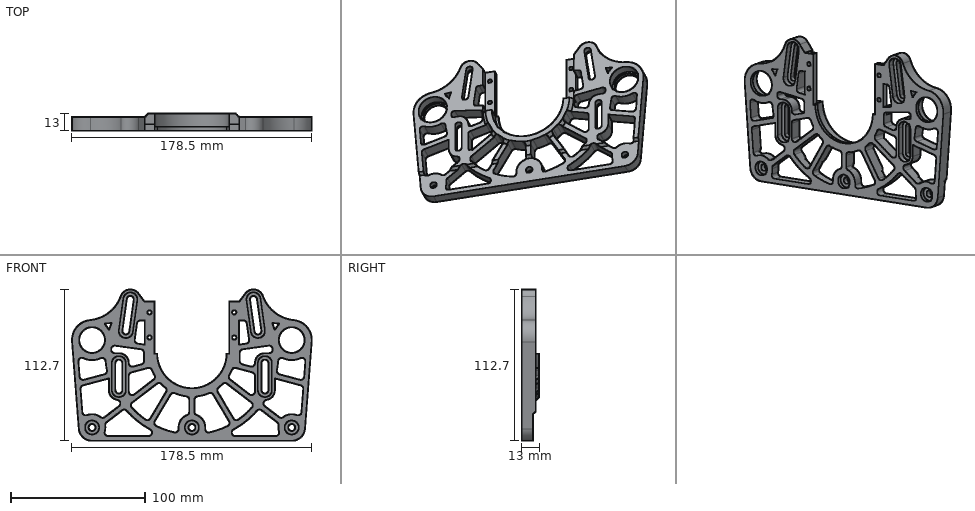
import cadquery as cq
import math

plate_depth = 10.5
boss_depth = 13.0
foot_depth = 8.5
tab_depth = 5.0
bearing_lip = 3.0
cup_lip = 3.0
pocket_floor = 5.0
slot_pocket_depth = plate_depth - pocket_floor
foot_pocket_depth = foot_depth - pocket_floor
cutter_depth = 20.0

overall_height = 112.73

cup_z = 65.0
cup_bore_radius = 27.75
cup_lip_radius = 25.75
boss_base_radius = 35.0
boss_rim_radius = boss_base_radius - (boss_depth - plate_depth)

corner_x = 74.225
corner_radius = 15.0
bearing_z = 75.0
bearing_diameter = 22.0
bearing_lip_diameter = 19.0
foot_radius = 10.0
foot_z = foot_radius
foot_xs = (-corner_x, 0.0, corner_x)
foot_step_z = 20.0

screw_diameter = 5.0
pocket_diameter = 10.5
slot_pad_radius = 7.5
tilt_slot_angle = 8.0
tilt_slot_length = 23.7
lobe_x = 45.8
lobe_z = overall_height - slot_pad_radius
post_slot_x = 54.3
post_slot_z = 47.85
post_slot_length = 20.0

neck_radius = 27.0
tab_top_z = 103.7
tab_outer_x = 35.2
tab_hole_x = 31.5
tab_hole_diameter = 3.0
tab_hole_zs = (76.9, 95.6)

frame_width = 3.75
rib_width = 4.0
rib_angles = (15.0, 37.5, 59.3, 90.0)
inner_ring_radius = 32.2
web_ring_inner = 60.0
web_ring_outer = 64.5
window_fillet = 2.5
same_place = 0.01
upper_window_inner_x = 35.7
tab_window_top_z = 89.5
tilt_rib_start = 8.0
triangle_points = ((-64.8, 87.2), (-59.9, 87.6), (-61.6, 82.7))

tilt = math.radians(tilt_slot_angle)
tilt_low_x = -lobe_x - tilt_slot_length * math.sin(tilt)
tilt_low_z = lobe_z - tilt_slot_length * math.cos(tilt)


def front(offset=0.0):
    """Sketch plane facing +Y whose local axes are world X and Z."""
    return cq.Workplane(cq.Plane((0, offset, 0), (1, 0, 0), (0, -1, 0)))


def prism(sketch, depth=cutter_depth):
    """Extrude a front sketch toward +Y."""
    return sketch.extrude(-depth)


def disc(x, z, radius, depth=cutter_depth, start=0.0):
    return prism(front(start).center(x, z).circle(radius), depth)


def polygon(points, depth=cutter_depth, start=0.0):
    return prism(front(start).polyline(points).close(), depth)


def box(x0, x1, z0, z1, depth=cutter_depth, start=0.0):
    return polygon([(x0, z0), (x1, z0), (x1, z1), (x0, z1)], depth, start)


def both_sides(shape):
    return shape.union(shape.mirror("YZ"))


def polar(center, radius, angle):
    return (center[0] + radius * math.cos(angle), center[1] + radius * math.sin(angle))


def side_line_points():
    """Tangent points of the sloping left side on the corner and foot circles."""
    lean = math.asin((corner_radius - foot_radius) / (bearing_z - foot_z))
    angle = math.pi + lean
    upper = polar((-corner_x, bearing_z), corner_radius, angle)
    lower = polar((-corner_x, foot_z), foot_radius, angle)
    return upper, lower, angle


def left_outline():
    """Left half of the plate, closed along X = 0, without the cup opening."""
    lobe = (-lobe_x, lobe_z)
    corner = (-corner_x, bearing_z)
    tab_corner = (-tab_outer_x, tab_top_z)

    flank_dx = tab_corner[0] - lobe[0]
    flank_dz = tab_corner[1] - lobe[1]
    flank_length = math.hypot(flank_dx, flank_dz)
    lobe_start = math.atan2(flank_dz, flank_dx) + math.acos(slot_pad_radius / flank_length)

    to_lobe = math.atan2(lobe[1] - corner[1], lobe[0] - corner[0])
    spacing = math.dist(lobe, corner)
    corner_side = neck_radius + corner_radius
    lobe_side = neck_radius + slot_pad_radius
    cosine = (corner_side**2 + spacing**2 - lobe_side**2) / (2 * corner_side * spacing)
    corner_start = to_lobe + math.acos(cosine)
    neck = polar(corner, corner_side, corner_start)
    lobe_end = math.atan2(neck[1] - lobe[1], neck[0] - lobe[0])
    neck_lobe = polar(lobe, slot_pad_radius, lobe_end)
    neck_corner = polar(corner, corner_radius, corner_start)
    chord_middle = ((neck_lobe[0] + neck_corner[0]) / 2, (neck_lobe[1] + neck_corner[1]) / 2)
    neck_angle = math.atan2(chord_middle[1] - neck[1], chord_middle[0] - neck[0])

    side_top, side_bottom, side_angle = side_line_points()
    foot_middle = (side_angle + 1.5 * math.pi) / 2
    return (
        front()
        .moveTo(0, 0)
        .lineTo(0, tab_top_z)
        .lineTo(*tab_corner)
        .lineTo(*polar(lobe, slot_pad_radius, lobe_start))
        .threePointArc(polar(lobe, slot_pad_radius, (lobe_start + lobe_end) / 2), neck_lobe)
        .threePointArc(polar(neck, neck_radius, neck_angle), neck_corner)
        .threePointArc(polar(corner, corner_radius, (corner_start + side_angle) / 2), side_top)
        .lineTo(*side_bottom)
        .threePointArc(polar((-corner_x, foot_z), foot_radius, foot_middle), (-corner_x, 0))
        .close()
    )


def make_plate():
    plate = both_sides(prism(left_outline(), plate_depth))
    boss = (
        front(plate_depth)
        .center(0, cup_z)
        .circle(boss_base_radius)
        .workplane(offset=-(boss_depth - plate_depth))
        .circle(boss_rim_radius)
        .loft()
    )
    return plate.union(boss.cut(box(-corner_x, corner_x, cup_z, 2 * cup_z)))


def foot_step():
    """Strip removed from the back of the feet, ending in a 45 degree slope."""
    step_end_z = foot_step_z + plate_depth - foot_depth
    profile = [(foot_depth, 0), (foot_depth, foot_step_z), (plate_depth, step_end_z), (plate_depth, 0)]
    return cq.Workplane("YZ").polyline(profile).close().extrude(2 * corner_x, both=True)


def cup_opening():
    bore = disc(0, cup_z, cup_bore_radius, start=cup_lip)
    lip = disc(0, cup_z, cup_lip_radius)
    throat = box(-cup_bore_radius, cup_bore_radius, cup_z, 2 * cup_z)
    tab_backs = both_sides(box(-tab_outer_x, 0, cup_z, 2 * cup_z, start=tab_depth))
    return bore.union(lip).union(throat).union(tab_backs)


def slot(x, z, length, angle, diameter, depth):
    sketch = front().center(x, z).slot2D(length + diameter, diameter, angle)
    return prism(sketch, depth)


def pocketed_slot(x, z, length, angle):
    pocket = slot(x, z, length, angle, pocket_diameter, slot_pocket_depth)
    return pocket.union(slot(x, z, length, angle, screw_diameter, cutter_depth))


def slots():
    tilted = pocketed_slot(
        (tilt_low_x - lobe_x) / 2, (tilt_low_z + lobe_z) / 2, tilt_slot_length, 90 - tilt_slot_angle
    )
    post = pocketed_slot(-post_slot_x, post_slot_z, post_slot_length, 90)
    return both_sides(tilted.union(post))


def round_holes():
    holes = disc(-corner_x, bearing_z, bearing_diameter / 2, start=bearing_lip)
    holes = holes.union(disc(-corner_x, bearing_z, bearing_lip_diameter / 2))
    for z in tab_hole_zs:
        holes = holes.union(disc(-tab_hole_x, z, tab_hole_diameter / 2))
    holes = both_sides(holes)
    for x in foot_xs:
        holes = holes.union(disc(x, foot_z, screw_diameter / 2))
        holes = holes.union(disc(x, foot_z, pocket_diameter / 2, foot_pocket_depth))
    return holes


def rib(angle):
    """Radial rib from the cup axis toward the lower left."""
    bar = box(-2 * corner_x, 0, cup_z - rib_width / 2, cup_z + rib_width / 2)
    return bar.rotate((0, 0, cup_z), (0, 1, cup_z), -angle)


def sector(start_angle, end_angle):
    """Wedge left of the cup axis, between angles below the -X direction, trimmed by half a rib."""
    reach = 3 * corner_x
    points = [(0, cup_z)]
    for angle in (start_angle, end_angle):
        points.append(polar((0, cup_z), reach, math.pi + math.radians(angle)))
    return polygon(points).cut(rib(start_angle)).cut(rib(end_angle))


def rounded(window, unrounded=()):
    """Round the corners along Y, except those at the listed (x, z) places."""

    def to_round(edge):
        center = edge.Center()
        return all(math.dist((center.x, center.z), place) > same_place for place in unrounded)

    return window.edges("|Y").filter(to_round).fillet(window_fillet)


def frame_inside():
    """Area inside the sloping side wall and the bottom wall."""
    top, bottom, angle = side_line_points()
    inset_top = polar(top, -frame_width, angle)
    inset_bottom = polar(bottom, -frame_width, angle)
    slope = (inset_top[0] - inset_bottom[0]) / (inset_top[1] - inset_bottom[1])
    floor_x = inset_bottom[0] + slope * (frame_width - inset_bottom[1])
    return polygon([inset_top, (floor_x, frame_width), (0, frame_width), (0, inset_top[1])])


def post_pad():
    """Material kept around the upright slot."""
    return slot(-post_slot_x, post_slot_z, post_slot_length, 90, 2 * slot_pad_radius, cutter_depth)


def foot_window(area):
    """Trim the window above a side foot around the upright slot; its top corner stays square."""
    pad_side = -post_slot_x - slot_pad_radius
    pad_low_z = post_slot_z - post_slot_length / 2
    rib_angle = math.radians(rib_angles[0])
    rib_z = cup_z + pad_side * math.tan(rib_angle) - rib_width / 2 / math.cos(rib_angle)
    area = area.cut(post_pad()).cut(box(pad_side, 0, pad_low_z, cup_z))
    return rounded(area, [(pad_side, rib_z), (pad_side, pad_low_z)])


def web_windows():
    """Windows between the ribs, inside and outside the web ring."""
    inner_ring = disc(0, cup_z, inner_ring_radius)
    annulus = disc(0, cup_z, web_ring_inner).cut(inner_ring)
    outside = frame_inside().cut(disc(0, cup_z, web_ring_outer))
    side_foot = disc(-corner_x, foot_z, foot_radius)
    middle_foot = disc(0, foot_z, foot_radius)
    beside_post = box(slot_pad_radius - post_slot_x, 0, 0, cup_z)
    upper, middle, lower, vertical = rib_angles
    above_level = -upper
    return [
        rounded(sector(upper, middle).intersect(annulus).intersect(beside_post)),
        rounded(sector(middle, lower).intersect(annulus)),
        rounded(sector(lower, vertical).intersect(annulus).cut(middle_foot)),
        rounded(outside.intersect(sector(above_level, upper)).cut(disc(-corner_x, bearing_z, corner_radius))),
        foot_window(outside.intersect(sector(upper, middle)).cut(side_foot)),
        rounded(outside.intersect(sector(middle, vertical)).cut(side_foot)),
    ]


def below_tilted_slot(distance):
    """Half plane across the tilted slot axis, a distance beyond its lower centre."""
    reach = 2 * corner_x
    half_plane = box(tilt_low_x - reach, tilt_low_x + reach, tilt_low_z - reach, tilt_low_z - distance)
    return half_plane.rotate((tilt_low_x, 0, tilt_low_z), (tilt_low_x, 1, tilt_low_z), tilt_slot_angle)


def hook_window():
    """Window curling over the top of the upright slot."""
    post_top = post_slot_z + post_slot_length / 2 + slot_pad_radius
    shelf = box(-corner_x, -post_slot_x, 0, post_top)
    below_post = box(-corner_x, slot_pad_radius - post_slot_x, 0, post_slot_z)
    upper_side = box(-corner_x, -upper_window_inner_x, 0, 2 * cup_z)
    rib_line = polygon(
        [(0, cup_z), polar((0, cup_z), 2 * corner_x, math.pi + math.radians(rib_angles[0])), (0, -cup_z)]
    )
    window = disc(0, cup_z, web_ring_inner).intersect(upper_side)
    window = window.intersect(below_tilted_slot(tilt_rib_start + rib_width))
    window = window.cut(rib_line).cut(rib(rib_angles[0]))
    pad_top = (-post_slot_x, post_top)
    pad_side = (slot_pad_radius - post_slot_x, post_top - slot_pad_radius)
    return rounded(window.cut(shelf).cut(below_post).cut(post_pad()), [pad_top, pad_side])


def tab_window():
    """Window between the tilted slot and the tab; square corners along the tab."""
    slot_band = box(-slot_pad_radius, slot_pad_radius, -cup_z, cup_z)
    slot_band = slot_band.rotate((0, 0, 0), (0, 1, 0), tilt_slot_angle).translate((-lobe_x, 0, lobe_z))
    window = box(-lobe_x - slot_pad_radius, -tab_outer_x, 0, tab_window_top_z)
    window = window.cut(slot_band).cut(below_tilted_slot(tilt_rib_start))
    return window.edges("|Y and (not >X)").fillet(window_fillet)


part = make_plate().cut(foot_step()).cut(cup_opening()).cut(slots()).cut(round_holes())
for window in web_windows() + [hook_window(), tab_window(), polygon(triangle_points)]:
    part = part.cut(both_sides(window))
result = part